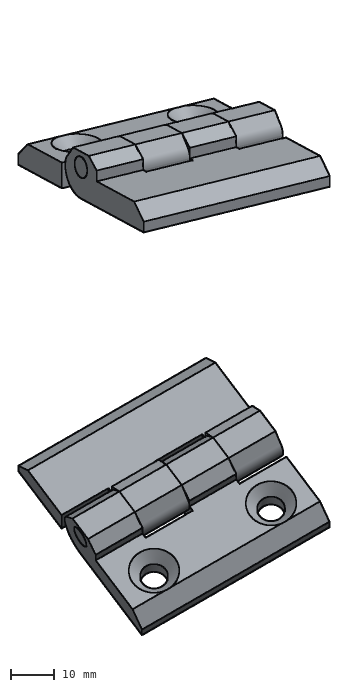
import cadquery as cq

HINGE_WIDTH = 51.49
HINGE_LENGTH = 51.49
LEAF_THICKNESS = 6.35
KNUCKLE_HEIGHT = 11.58

EDGE_BEVEL_WIDTH = 3.93
EDGE_BEVEL_HEIGHT = 3.68

KNUCKLES_PER_LEAF = 2
KNUCKLE_LENGTH = HINGE_LENGTH / (2 * KNUCKLES_PER_LEAF)
KNUCKLE_RADIUS = 6.46
KNUCKLE_FLAT_HALF_WIDTH = 3.22
KNUCKLE_SHOULDER_Z = 9.0

NOSE_BEVEL_END_X = -5.41
NOSE_BEVEL_END_Z = 8.98

SLOT_CLEARANCE = 1.31

PIN_AXIS_Z = 7.75
PIN_DIAMETER = 5.1
BORE_DIAMETER = 5.2

SCREW_HOLE_PITCH = 32.14
SCREW_HOLE_X = -SCREW_HOLE_PITCH / 2
SCREW_HOLE_DIAMETER = 6.4
COUNTERSINK_DIAMETER = 11.6
COUNTERSINK_ANGLE = 90

OUTER_X = HINGE_WIDTH / 2
FRONT_Y = -HINGE_LENGTH / 2
SLOT_WALL_X = KNUCKLE_RADIUS + SLOT_CLEARANCE


def extrude_along_y(profile, start_y, length):
    """Extrude a closed XZ profile toward +Y from start_y."""
    return profile.extrude(-length).translate((0, start_y, 0))


def leaf_plate():
    """Flat plate on the +X side, bevelled along its outer edge."""
    profile = (
        cq.Workplane("XZ")
        .moveTo(SLOT_WALL_X, 0)
        .lineTo(OUTER_X, 0)
        .lineTo(OUTER_X, LEAF_THICKNESS - EDGE_BEVEL_HEIGHT)
        .lineTo(OUTER_X - EDGE_BEVEL_WIDTH, LEAF_THICKNESS)
        .lineTo(SLOT_WALL_X, LEAF_THICKNESS)
        .close()
    )
    return extrude_along_y(profile, FRONT_Y, HINGE_LENGTH)


def knuckle(start_y):
    """Knuckle with a rounded nose on -X and a bridge to the plate on +X."""
    profile = (
        cq.Workplane("XZ")
        .moveTo(SLOT_WALL_X, LEAF_THICKNESS)
        .lineTo(SLOT_WALL_X, 0)
        .lineTo(0, 0)
        .tangentArcPoint((-KNUCKLE_RADIUS, KNUCKLE_RADIUS), relative=False)
        .tangentArcPoint((NOSE_BEVEL_END_X, NOSE_BEVEL_END_Z), relative=False)
        .lineTo(-KNUCKLE_FLAT_HALF_WIDTH, KNUCKLE_HEIGHT)
        .lineTo(KNUCKLE_FLAT_HALF_WIDTH, KNUCKLE_HEIGHT)
        .lineTo(KNUCKLE_RADIUS, KNUCKLE_SHOULDER_Z)
        .lineTo(KNUCKLE_RADIUS, LEAF_THICKNESS)
        .close()
    )
    return extrude_along_y(profile, start_y, KNUCKLE_LENGTH)


def pin_cylinder(diameter):
    """Full-length cylinder on the pin axis."""
    profile = cq.Workplane("XZ").center(0, PIN_AXIS_Z).circle(diameter / 2)
    return extrude_along_y(profile, FRONT_Y, HINGE_LENGTH)


def leaf():
    """Leaf on the +X side: plate, alternate knuckles and the pin bore."""
    body = leaf_plate()
    for index in range(KNUCKLES_PER_LEAF):
        body = body.union(knuckle(FRONT_Y + 2 * index * KNUCKLE_LENGTH))
    return body.cut(pin_cylinder(BORE_DIAMETER))


def drill_screw_holes(body):
    """Cut the two countersunk through holes from the top of the -X leaf."""
    return (
        cq.Workplane("XY", origin=(0, 0, LEAF_THICKNESS))
        .add(body)
        .pushPoints([(SCREW_HOLE_X, side * SCREW_HOLE_PITCH / 2) for side in (-1, 1)])
        .cskHole(SCREW_HOLE_DIAMETER, COUNTERSINK_DIAMETER, COUNTERSINK_ANGLE)
    )


plain_leaf = leaf()
drilled_leaf = drill_screw_holes(leaf().rotate((0, 0, 0), (0, 0, 1), 180))
pin = pin_cylinder(PIN_DIAMETER)

result = cq.Compound.makeCompound([plain_leaf.val(), drilled_leaf.val(), pin.val()])